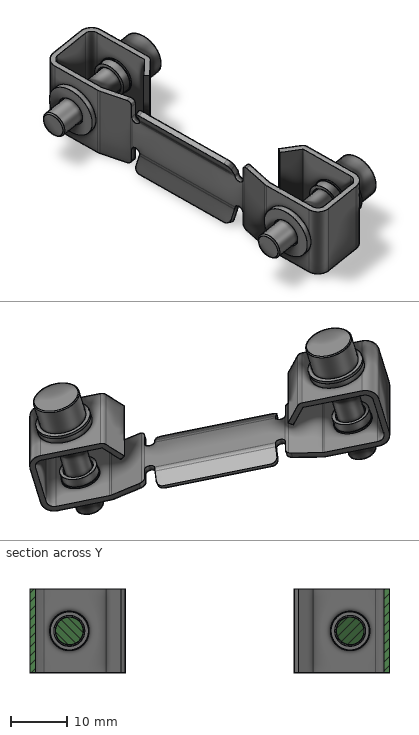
import cadquery as cq
import math

overall_length = 64.0
clip_width = 15.0
sheet = 1.0
saddle_depth = 12.6

saddle_bend_radius = 2.0
lip_bend_radius = 0.65
wing_bend_radius = 1.55

lip_corner_x = 18.2
lip_end_x = 15.4
lip_drop = 3.5
ramp_outer_x = 19.45
ramp_inner_x = 13.1
bridge_rise = 1.5

wing_length = 22.15
wing_angle = 27.0
wing_corner_radius = 1.2
bridge_flat_half = 3.7
relief_width = 1.85
relief_bottom_z = 3.0
saddle_corner_radius = 1.0

bolt_spacing = 50.0
bolt_radius = 2.5
bolt_length = 20.0
bolt_tip_chamfer = 0.25
head_radius = 4.2
head_height = 5.0
head_chamfer = 0.2
washer_thickness = 0.5
flange_radius = 5.0
flange_thickness = 1.0
bore_radius = 2.75
collar_radius = 3.5
collar_length = 0.3
sleeve_radius = 3.4
bush_reach = 2.0

half_width = clip_width / 2
outer_y = saddle_depth / 2
wall_y = outer_y - sheet / 2
side_x = overall_length / 2 - sheet / 2
bridge_y = bridge_rise - wall_y
relief_outer_x = wing_length / 2 + relief_width
bolt_x = bolt_spacing / 2
head_seat_y = outer_y + flange_thickness + washer_thickness


def rounded_path(points, radii):
    """Open path in the XY plane through the points, with each inner corner rounded."""
    path = cq.Workplane("XY").moveTo(*points[0])
    for before, corner, after, radius in zip(points, points[1:], points[2:], radii):
        here = cq.Vector(*corner)
        to_before = (cq.Vector(*before) - here).normalized()
        to_after = (cq.Vector(*after) - here).normalized()
        half_angle = to_before.getAngle(to_after) / 2
        tangent_length = radius / math.tan(half_angle)
        arc_start = here + to_before * tangent_length
        arc_end = here + to_after * tangent_length
        bisector = (to_before + to_after).normalized()
        arc_middle = here + bisector * (radius / math.sin(half_angle) - radius)
        path = path.lineTo(arc_start.x, arc_start.y)
        path = path.threePointArc((arc_middle.x, arc_middle.y), (arc_end.x, arc_end.y))
    return path.lineTo(*points[-1])


def bent_sheet(points, radii, width):
    """Sheet of the given width along Z whose middle line is the rounded path."""
    start = cq.Vector(*points[0])
    direction = cq.Vector(*points[1]) - start
    section = cq.Workplane(cq.Plane(origin=start, xDir=(0, 0, 1), normal=direction))
    return section.rect(width, sheet).sweep(rounded_path(points, radii))


def saddles_and_bridge():
    """The strip that runs from one entry lip to the other."""
    right_half = [
        (ramp_inner_x, bridge_y),
        (ramp_outer_x, -wall_y),
        (side_x, -wall_y),
        (side_x, wall_y),
        (lip_corner_x, wall_y),
        (lip_end_x, wall_y - lip_drop),
    ]
    left_half = [(-x, y) for x, y in reversed(right_half)]
    right_radii = [saddle_bend_radius] * 4 + [lip_bend_radius]
    return bent_sheet(left_half + right_half, right_radii[::-1] + right_radii, clip_width)


def wing_clearance():
    """Everything cut away above the bridge: the wing blanks and the round-ended relief slots.

    At the top it flares out, which leaves the corners of the ramps rounded.
    """
    inner_x = wing_length / 2
    middle_x = inner_x + relief_width / 2
    round_start_z = relief_bottom_z + relief_width / 2
    corner_end_x = relief_outer_x + saddle_corner_radius
    corner_start_z = half_width - saddle_corner_radius
    corner_inset = saddle_corner_radius * (1 - math.sqrt(0.5))
    corner_x = relief_outer_x + corner_inset
    corner_z = half_width - corner_inset
    return (
        cq.Workplane("XZ", origin=(0, outer_y, 0))
        .moveTo(-corner_end_x, half_width)
        .threePointArc((-corner_x, corner_z), (-relief_outer_x, corner_start_z))
        .lineTo(-relief_outer_x, round_start_z)
        .threePointArc((-middle_x, relief_bottom_z), (-inner_x, round_start_z))
        .lineTo(-inner_x, bridge_flat_half)
        .lineTo(inner_x, bridge_flat_half)
        .lineTo(inner_x, round_start_z)
        .threePointArc((middle_x, relief_bottom_z), (relief_outer_x, round_start_z))
        .lineTo(relief_outer_x, corner_start_z)
        .threePointArc((corner_x, corner_z), (corner_end_x, half_width))
        .close()
        .extrude(saddle_depth)
    )


def winged_bridge():
    """Middle of the bridge with a wing folded forward along each long edge."""
    angle = math.radians(wing_angle)
    bend_z = bridge_flat_half + wing_bend_radius * math.tan(angle / 2)
    tip_z = half_width - sheet / 2 * math.sin(angle)
    tip_y = -(tip_z - bend_z) * math.tan(angle)
    upper_half = [(bend_z, 0), (tip_z, tip_y)]
    lower_half = [(-z, y) for z, y in reversed(upper_half)]
    wings = bent_sheet(lower_half + upper_half, [wing_bend_radius] * 2, wing_length)
    wings = wings.rotate((0, 0, 0), (0, 1, 0), -90)
    for tip in (">Z", "<Z"):
        wings = wings.faces(tip).edges("not |X").fillet(wing_corner_radius)
    return wings.translate((0, bridge_y, 0))


def make_clip():
    """Bent sheet-metal clip with a hole through both walls of each saddle."""
    clearance = wing_clearance()
    clip = saddles_and_bridge().cut(clearance).cut(clearance.mirror("XY"))
    clip = clip.union(winged_bridge())
    holes = (
        cq.Workplane("XZ", origin=(0, outer_y, 0))
        .pushPoints([(-bolt_x, 0), (bolt_x, 0)])
        .circle(collar_radius)
        .extrude(saddle_depth)
    )
    return clip.cut(holes)


def make_bush():
    """Flanged bush on the Y axis; its flange rests on the back wall's outer face."""
    inner_y = outer_y - sheet
    return (
        cq.Workplane("XY")
        .moveTo(bore_radius, outer_y + flange_thickness)
        .lineTo(flange_radius, outer_y + flange_thickness)
        .lineTo(flange_radius, outer_y)
        .lineTo(collar_radius, outer_y)
        .lineTo(collar_radius, inner_y - collar_length)
        .lineTo(sleeve_radius, inner_y - collar_length)
        .lineTo(sleeve_radius, inner_y - bush_reach)
        .lineTo(bore_radius, inner_y - bush_reach)
        .close()
        .revolve(360, (0, 0, 0), (0, 1, 0))
    )


def make_washer():
    """Flat washer between the back bush and the bolt head."""
    seat = cq.Workplane("XZ", origin=(0, head_seat_y, 0))
    return seat.circle(flange_radius).circle(bore_radius).extrude(washer_thickness)


def make_bolt():
    """Cylinder-head bolt pointing toward -Y."""
    seat = cq.Workplane("XZ", origin=(0, head_seat_y, 0))
    head = seat.circle(head_radius).extrude(-head_height).faces(">Y").chamfer(head_chamfer)
    shank = seat.circle(bolt_radius).extrude(bolt_length).faces("<Y").chamfer(bolt_tip_chamfer)
    return head.union(shank)


clip = make_clip()
bolts = []
washers = []
bushes = []
for x in (-bolt_x, bolt_x):
    place = (x, 0, 0)
    back_bush = make_bush()
    front_bush = back_bush.mirror("XZ")
    bolts.append(make_bolt().translate(place).val())
    washers.append(make_washer().translate(place).val())
    bushes.append(back_bush.translate(place).val())
    bushes.append(front_bush.translate(place).val())

result = cq.Compound.makeCompound([clip.val(), *bolts, *washers, *bushes])